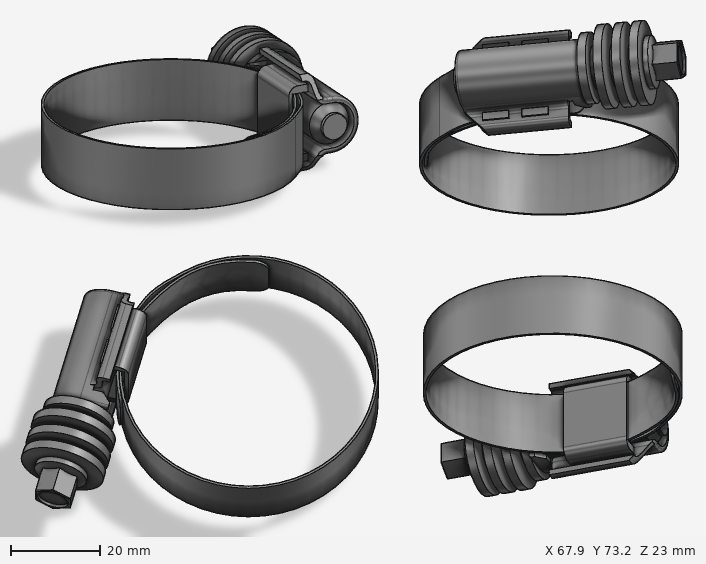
import cadquery as cq
import math


ring_outer_radius = 29.0
band_thickness = 0.6
band_width = 14.5
band_end_radius = 3.4
overlap_gap = 0.1
outer_end_angle = 119.8
overlap_start_angle = 67
ring_start_angle = 46
inner_layer = [
    (74, 0.45),
    (48, 0.7),
    (6, 1.2),
]

screw_axis_y = 34.7
shaft_radius = 5.0
hex_flat_distance = 8.05
hex_end_x = -38.9
hex_edge_chamfer = 0.2
hex_recess_radius = 3.5
hex_recess_depth = 0.7
head_flange_radius = 6.0
head_bevel_radius = 3.95
head_bevel_start_x = -33.3
head_rim_x = -32.5
head_flange_end_x = -31.25
disc_radius = 9.5
disc_rim_width = 2.0
collar_radius = 8.05
collar_rim_x = -18.65
collar_dish = 0.3
discs = [
    (-30.95, 0.3),
    (-26.9, 0.7),
    (-22.7, 0.7),
]
worm_end_x = 10.0
tail_radius = 3.1
tail_end_x = 12.9

sheet = 1.25
housing_radius = 6.65
housing_start_x = collar_rim_x + disc_rim_width
housing_end_x = 11.85
housing_end_round = 0.65
flange_start_x = -12.15
flange_top_y = -2.8
lip_end_y = -5.85
lip_outer_z = 11.5
bend_outer_radius = 1.5
flange_inner_bend = 2.05
lip_inner_bend = 1.0
skirt_bottom_y = -6.65
skirt_flat_end_x = -15.3
notch_width = 1.1
notch_top_y = -2.3
mid_bend = math.sqrt(0.5)

saddle_length = 15.1
saddle_outer_z = 9.15
saddle_side_clearance = 0.1
saddle_bottom_y = -8.85
saddle_bottom_thickness = 0.95
saddle_corner_radius = 2.3
tab_gap = 3.0
tab_top_y = -2.3

saddle_inner_z = band_width / 2 + saddle_side_clearance
flange_bottom_y = flange_top_y - sheet


def polar(radius, degrees):
    angle = math.radians(degrees)
    return cq.Vector(radius * math.cos(angle), radius * math.sin(angle), 0)


def tangent(degrees):
    """Counter-clockwise direction along a circle about the Z axis."""
    return polar(1, degrees + 90)


def make_band():
    """One strip that overlaps itself: inner layer, full ring, outer layer."""
    ring_radius = ring_outer_radius - band_thickness / 2
    outer_radius = ring_radius + band_thickness + overlap_gap
    ring_top = polar(ring_radius, 90)
    ring_bottom = polar(ring_radius, 270)
    ring_start = polar(ring_radius, ring_start_angle)
    overlap_start = polar(outer_radius, overlap_start_angle)
    outer_end = polar(outer_radius, outer_end_angle)

    inner_points = [polar(ring_radius - inset, angle) for angle, inset in reversed(inner_layer)]
    inner_end = inner_points[0]
    inner_tangent = tangent(inner_layer[-1][0])
    path = cq.Wire.assembleEdges([
        cq.Edge.makeSpline(inner_points + [ring_top], tangents=[inner_tangent, tangent(90)]),
        cq.Edge.makeThreePointArc(ring_top, ring_bottom, ring_start),
        cq.Edge.makeSpline(
            [ring_start, overlap_start],
            tangents=[tangent(ring_start_angle), tangent(overlap_start_angle)],
        ),
        cq.Edge.makeThreePointArc(overlap_start, polar(outer_radius, 90), outer_end),
    ])
    section = cq.Plane(origin=inner_end.toTuple(), xDir=(0, 0, 1), normal=inner_tangent.toTuple())
    band = cq.Workplane(section).rect(band_width, band_thickness).sweep(cq.Workplane(path))

    reach = cq.Vector(band_thickness, band_thickness, band_width)
    for end in (inner_end, outer_end):
        near_end = cq.selectors.BoxSelector((end - reach).toTuple(), (end + reach).toTuple())
        corners = cq.selectors.LengthNthSelector(0)
        band = band.edges(near_end).edges(corners).fillet(band_end_radius)
    return band


def disc_points(start_x, radius, left_dish, right_dish):
    """Half profile of a disc whose faces dish outwards towards the shaft."""
    end_x = start_x + disc_rim_width
    return [
        (start_x - left_dish, shaft_radius),
        (start_x, radius),
        (end_x, radius),
        (end_x + right_dish, shaft_radius),
    ]


def make_screw():
    """Hex head, spring discs, worm and tail, turned about the screw axis."""
    profile = [
        (head_bevel_start_x, 0),
        (head_bevel_start_x, head_bevel_radius),
        (head_rim_x, head_flange_radius),
        (head_flange_end_x, head_flange_radius),
    ]
    for start_x, dish in discs:
        profile += disc_points(start_x, disc_radius, dish, dish)
    profile += disc_points(collar_rim_x, collar_radius, collar_dish, 0)
    profile += [
        (worm_end_x, shaft_radius),
        (worm_end_x + shaft_radius - tail_radius, tail_radius),
        (tail_end_x, tail_radius),
        (tail_end_x, 0),
    ]
    turned = cq.Workplane("XY").polyline(profile).close().revolve(360, (0, 0), (1, 0))

    hex_head = (
        cq.Workplane("YZ", origin=(hex_end_x, 0, 0))
        .polygon(6, hex_flat_distance, circumscribed=True)
        .extrude(head_rim_x - hex_end_x)
        .faces("<X").chamfer(hex_edge_chamfer)
        .faces("<X").workplane()
        .circle(hex_recess_radius).cutBlind(-hex_recess_depth)
    )
    return turned.union(hex_head).translate((0, screw_axis_y, 0))


def flanged_half():
    """Half of the housing section (in Y, Z): arch, wall, flange and down-turned lip."""
    inner = housing_radius - sheet
    lip_inner_z = lip_outer_z - sheet
    top_bend_z = housing_radius + bend_outer_radius
    lip_bend_z = lip_outer_z - bend_outer_radius
    lip_bend_y = flange_top_y - bend_outer_radius
    under_bend_y = flange_bottom_y + flange_inner_bend
    under_bend_z = inner + flange_inner_bend
    lip_under_y = flange_bottom_y - lip_inner_bend
    lip_under_z = lip_inner_z - lip_inner_bend
    wall_bend_y = flange_top_y + bend_outer_radius
    bend_reach = bend_outer_radius * mid_bend
    under_reach = flange_inner_bend * mid_bend
    lip_reach = lip_inner_bend * mid_bend
    return (
        cq.Workplane("YZ", origin=(flange_start_x, 0, 0))
        .moveTo(housing_radius, 0)
        .threePointArc((housing_radius * mid_bend, housing_radius * mid_bend), (0, housing_radius))
        .lineTo(wall_bend_y, housing_radius)
        .threePointArc((wall_bend_y - bend_reach, top_bend_z - bend_reach), (flange_top_y, top_bend_z))
        .lineTo(flange_top_y, lip_bend_z)
        .threePointArc((lip_bend_y + bend_reach, lip_bend_z + bend_reach), (lip_bend_y, lip_outer_z))
        .lineTo(lip_end_y, lip_outer_z)
        .lineTo(lip_end_y, lip_inner_z)
        .lineTo(lip_under_y, lip_inner_z)
        .threePointArc((lip_under_y + lip_reach, lip_under_z + lip_reach), (flange_bottom_y, lip_under_z))
        .lineTo(flange_bottom_y, under_bend_z)
        .threePointArc((under_bend_y - under_reach, under_bend_z - under_reach), (under_bend_y, inner))
        .lineTo(0, inner)
        .threePointArc((inner * mid_bend, inner * mid_bend), (inner, 0))
        .close()
        .extrude(housing_end_x - flange_start_x)
    )


def skirt():
    """Deep U-section at the front of the housing, cut back at 45 degrees and notched."""
    length = flange_start_x - housing_start_x
    inner = housing_radius - sheet

    def u_shape(radius):
        return (
            cq.Workplane("YZ", origin=(housing_start_x, 0, 0))
            .moveTo(skirt_bottom_y, -radius)
            .lineTo(0, -radius)
            .threePointArc((radius, 0), (0, radius))
            .lineTo(skirt_bottom_y, radius)
            .close()
            .extrude(length)
        )

    slope_rise = flange_start_x - skirt_flat_end_x
    slope = (
        cq.Workplane("XY")
        .moveTo(skirt_flat_end_x, skirt_bottom_y)
        .lineTo(flange_start_x, skirt_bottom_y + slope_rise)
        .lineTo(flange_start_x, skirt_bottom_y)
        .close()
        .extrude(housing_radius, both=True)
    )
    notch = (
        cq.Workplane("XY")
        .moveTo(flange_start_x - notch_width, notch_top_y)
        .lineTo(flange_start_x, notch_top_y)
        .lineTo(flange_start_x, skirt_bottom_y)
        .lineTo(flange_start_x - notch_width, skirt_bottom_y)
        .close()
        .extrude(housing_radius, both=True)
    )
    rounded = u_shape(housing_radius).faces("<X").edges("not <Y").fillet(housing_end_round)
    return rounded.cut(u_shape(inner)).cut(slope).cut(notch)


def saddle_tabs():
    """Four tabs, two on each side wall, that pass through the housing flanges."""
    tab_length = (saddle_length - tab_gap) / 2
    tab_x = (tab_gap + tab_length) / 2
    wall = saddle_outer_z - saddle_inner_z
    wall_z = (saddle_outer_z + saddle_inner_z) / 2
    places = [(x, z) for x in (-tab_x, tab_x) for z in (-wall_z, wall_z)]
    height = tab_top_y - flange_bottom_y
    tab_y = (tab_top_y + flange_bottom_y) / 2
    tabs = cq.Workplane("XY")
    for x, z in places:
        tabs = tabs.union(cq.Workplane("XY").box(tab_length, height, wall).translate((x, tab_y, z)))
    return tabs


def make_housing():
    half = flanged_half()
    body = half.union(half.mirror("XY"))
    end_arch = body.faces(">X").edges(cq.selectors.RadiusNthSelector(-1))
    body = end_arch.fillet(housing_end_round)

    flange_cut = lip_outer_z - housing_radius
    for side in (1, -1):
        corner = (
            cq.Workplane("XZ")
            .moveTo(housing_end_x - flange_cut, side * lip_outer_z)
            .lineTo(housing_end_x, side * housing_radius)
            .lineTo(housing_end_x, side * lip_outer_z)
            .close()
            .extrude(housing_radius, both=True)
        )
        body = body.cut(corner)
    housing = body.union(skirt()).cut(saddle_tabs())
    return housing.translate((0, screw_axis_y, 0))


def make_saddle():
    """U-shaped strap under the band, with its tabs."""
    height = flange_bottom_y - saddle_bottom_y
    inner_height = height - saddle_bottom_thickness
    outer = (
        cq.Workplane("XY")
        .box(saddle_length, height, 2 * saddle_outer_z)
        .edges("|X and <Y").fillet(saddle_corner_radius)
        .translate((0, saddle_bottom_y + height / 2, 0))
    )
    opening = (
        cq.Workplane("XY")
        .box(saddle_length, inner_height, 2 * saddle_inner_z)
        .translate((0, flange_bottom_y - inner_height / 2, 0))
    )
    return outer.cut(opening).union(saddle_tabs()).translate((0, screw_axis_y, 0))


band = make_band()
screw = make_screw()
housing = make_housing()
saddle = make_saddle()

result = cq.Compound.makeCompound([band.val(), screw.val(), housing.val(), saddle.val()])